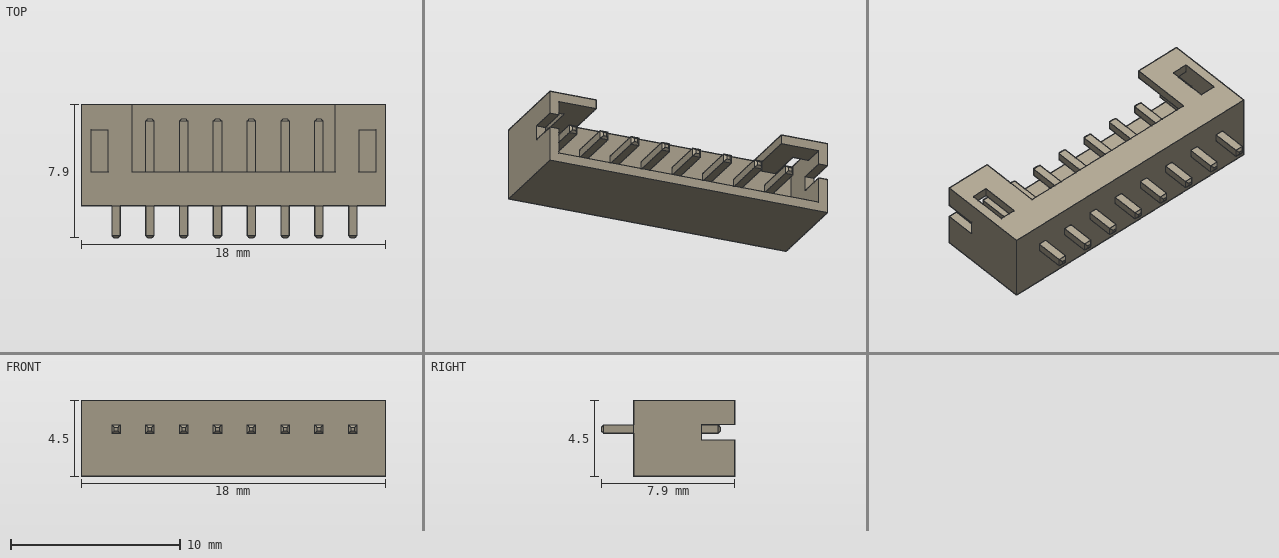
import cadquery as cq

LENGTH = 18.0
DEPTH = 6.0
HEIGHT = 4.5

WALL = 0.58
CAVITY_DEPTH = 4.0
CAVITY_BACK_Y = DEPTH - CAVITY_DEPTH

NOTCH_WIDTH = LENGTH * 2 / 3

WINDOW_WIDTH = 1.0
WINDOW_LENGTH = 2.5

SLOT_DEPTH = 1.96
SLOT_BOTTOM_Z = 2.16
SLOT_HEIGHT = 0.9

PIN_COUNT = 8
PIN_PITCH = LENGTH / 9
PIN_SIZE = 0.5
PIN_ROW_OFFSET = 0.05
PIN_Z = 2.79
PIN_TAIL = 1.9
PIN_SETBACK = 0.85
PIN_CHAMFER = 0.15


def box_between(x0, x1, y0, y1, z0, z1):
    """Axis-aligned box between two opposite corners."""
    return cq.Workplane("XY").box(x1 - x0, y1 - y0, z1 - z0, centered=False).translate((x0, y0, z0))


def cavity():
    """Mating cavity, open at the mouth."""
    return box_between(WALL, LENGTH - WALL, CAVITY_BACK_Y, DEPTH, WALL, HEIGHT - WALL)


def notch():
    """Opening in the top wall that exposes the middle pins."""
    side = (LENGTH - NOTCH_WIDTH) / 2
    return box_between(side, LENGTH - side, CAVITY_BACK_Y, DEPTH, HEIGHT - WALL, HEIGHT)


def window(left_x):
    """Latch window through the top wall."""
    return box_between(
        left_x, left_x + WINDOW_WIDTH, CAVITY_BACK_Y, CAVITY_BACK_Y + WINDOW_LENGTH, HEIGHT - WALL, HEIGHT
    )


def side_slots():
    """Slots through both side walls, cut in one pass along the length."""
    return box_between(0, LENGTH, DEPTH - SLOT_DEPTH, DEPTH, SLOT_BOTTOM_Z, SLOT_BOTTOM_Z + SLOT_HEIGHT)


def pin(x):
    """Square pin along Y with both tips chamfered."""
    half = PIN_SIZE / 2
    blank = box_between(x - half, x + half, -PIN_TAIL, DEPTH - PIN_SETBACK, PIN_Z - half, PIN_Z + half)
    return blank.faces("<Y or >Y").chamfer(PIN_CHAMFER)


housing = box_between(0, LENGTH, 0, DEPTH, 0, HEIGHT).cut(cavity()).cut(notch()).cut(side_slots())
for window_x in (WALL, LENGTH - WALL - WINDOW_WIDTH):
    housing = housing.cut(window(window_x))

result = housing
first_pin_x = LENGTH / 2 + PIN_ROW_OFFSET - PIN_PITCH * (PIN_COUNT - 1) / 2
for index in range(PIN_COUNT):
    result = result.union(pin(first_pin_x + index * PIN_PITCH))